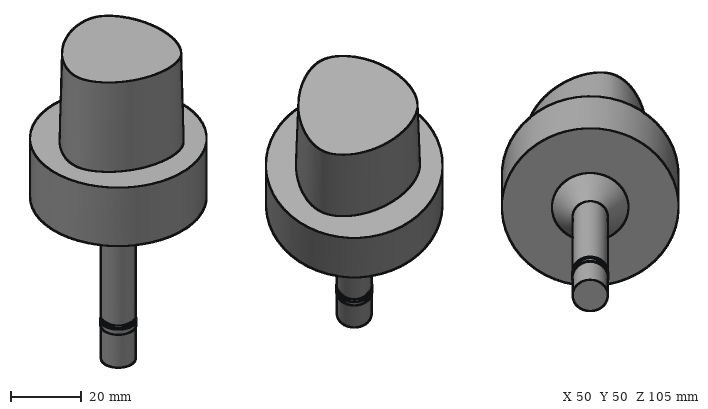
import cadquery as cq
import math

total_height = 105.0
shank_height = 30.0
flange_height = 20.0
neck_height = 6.1
shank_base = total_height - shank_height
flange_base = shank_base - flange_height
neck_base = flange_base - neck_height

flange_diameter = 50.0
neck_top_diameter = 21.6
stem_diameter = 10.0
groove_diameter = 8.7
collar_diameter = 10.3

collar_base = 11.2
collar_height = 1.9
groove_height = 1.3
collar_top = collar_base + collar_height
groove_top = collar_top + groove_height
groove_chamfer_height = 0.4
collar_chamfer = (collar_diameter - stem_diameter) / 2

shank_base_width = 35.1
shank_top_width = 33.7
lobe_eccentricity = 1.0
curve_samples = 96


def trilobe_point(t, width):
    """Point on a three-lobed curve of constant width, with one lobe toward -Y.

    t runs from 0 to 1 around the closed curve.
    """
    angle = 2 * math.pi * t
    radius = width / 2
    along_offset = 2 * math.cos(2 * angle) - math.cos(4 * angle)
    across_offset = 2 * math.sin(2 * angle) + math.sin(4 * angle)
    along_lobe = radius * math.cos(angle) + lobe_eccentricity * along_offset
    across_lobe = radius * math.sin(angle) - lobe_eccentricity * across_offset
    return across_lobe, -along_lobe


def make_turned_body():
    """Flange, conical neck and grooved stem, revolved about Z."""
    stem_radius = stem_diameter / 2
    groove_radius = groove_diameter / 2
    collar_radius = collar_diameter / 2
    flange_radius = flange_diameter / 2
    profile = [
        (0, 0),
        (stem_radius, 0),
        (stem_radius, collar_base),
        (collar_radius, collar_base + collar_chamfer),
        (collar_radius, collar_top),
        (groove_radius, collar_top),
        (groove_radius, groove_top - groove_chamfer_height),
        (stem_radius, groove_top),
        (stem_radius, neck_base),
        (neck_top_diameter / 2, flange_base),
        (flange_radius, flange_base),
        (flange_radius, shank_base),
        (0, shank_base),
    ]
    return cq.Workplane("XZ").polyline(profile).close().revolve(360, (0, 0), (0, 1))


def make_shank():
    """Three-lobed shank lofted from its wide base to its narrower top."""
    return (
        cq.Workplane("XY", origin=(0, 0, shank_base))
        .parametricCurve(lambda t: trilobe_point(t, shank_base_width), N=curve_samples)
        .workplane(offset=shank_height)
        .parametricCurve(lambda t: trilobe_point(t, shank_top_width), N=curve_samples)
        .loft(ruled=True, combine=True)
    )


result = make_turned_body().union(make_shank())